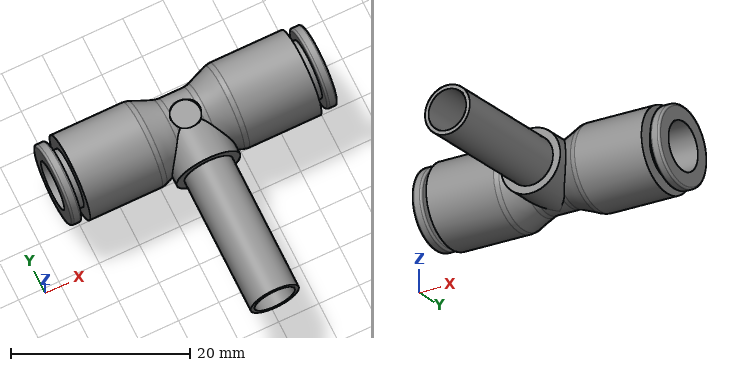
import cadquery as cq

run_length = 33.0
body_radius = 5.25
body_setback = 2.15
body_end = run_length / 2 - body_setback
waist_radius = 3.95
cone_inner_x = 1.88
cone_outer_x = 5.08
cone_blend_radius = 1.65
tube_bore_radius = 3.0

collar_width = 1.3
collar_radius = 4.95
collar_rounding = 0.25
neck_radius = 3.6

branch_radius = 3.95
branch_length = 5.9
stem_radius = 3.0
stem_length = 22.9
stem_bore_radius = 2.5

recess_radius = 1.78
recess_floor_z = 3.43


def branch_cylinder(radius, length):
    """Cylinder from the run axis out to the given distance toward -Y."""
    return cq.Workplane("XZ").circle(radius).extrude(length)


def half_body():
    """Waist, cone and socket body from the centre plane toward +X."""
    profile = (
        cq.Workplane("XY")
        .lineTo(0, waist_radius)
        .lineTo(cone_inner_x, waist_radius)
        .lineTo(cone_outer_x, body_radius)
        .lineTo(body_end, body_radius)
        .lineTo(body_end, 0)
        .close()
    )
    low_corner = cq.selectors.NearestToPointSelector((cone_inner_x, 0, 0))
    high_corner = cq.selectors.NearestToPointSelector((cone_outer_x, 0, 0))
    body = profile.revolve(360, (0, 0, 0), (1, 0, 0))
    return body.edges(low_corner + high_corner).fillet(cone_blend_radius)


def half_collar():
    """Neck and rounded release collar at the +X end."""
    neck = cq.Workplane("YZ", origin=(body_end, 0, 0)).circle(neck_radius).extrude(body_setback)
    collar = (
        cq.Workplane("YZ", origin=(run_length / 2 - collar_width, 0, 0))
        .circle(collar_radius)
        .extrude(collar_width)
        .edges("%CIRCLE")
        .fillet(collar_rounding)
    )
    return neck.union(collar)


right_half = half_body().union(half_collar())
run = right_half.union(right_half.mirror("YZ"))

branch = branch_cylinder(branch_radius, branch_length).union(branch_cylinder(stem_radius, stem_length))

run_bore = cq.Workplane("YZ").circle(tube_bore_radius).extrude(run_length / 2, both=True)
stem_bore = branch_cylinder(stem_bore_radius, stem_length)
recess = cq.Workplane("XY", origin=(0, 0, recess_floor_z)).circle(recess_radius).extrude(body_radius)

result = run.union(branch).cut(run_bore).cut(stem_bore).cut(recess)